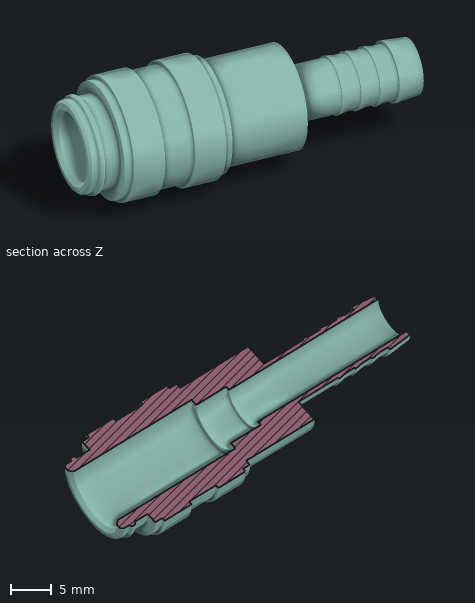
import cadquery as cq

total_length = 46.0
collar_front = -total_length / 2
tail_end = total_length / 2

neck_radius = 6.03
neck_length = 4.0
neck_chamfer = 0.3
bead_radius = 0.4
bead_offset = 1.6

sleeve_radius = 7.6
sleeve_length = 14.55
band_radius = 8.1
band_width = 4.2
band_inset = 1.05

body_radius = 6.85
body_length = 10.45
stem_radius = 3.6

barb_radius = 3.8
barb_length = 1.25
first_barb_offset = 4.65
barb_pitch = 2.555
barb_count = 3
tip_radius = 3.7
tip_barb_radius = 4.0
tip_length = 3.35

socket_radius = 4.5
socket_depth = 18.55
socket_chamfer = 0.5
step_radius = 3.55
step_depth = 4.6
through_radius = 2.95

sleeve_start = collar_front + neck_length
sleeve_end = sleeve_start + sleeve_length
body_end = sleeve_end + body_length


def cylinder(radius, start, end):
    """Cylinder on the Y axis spanning start to end."""
    base = cq.Workplane("XZ", origin=(0, start, 0))
    return base.circle(radius).extrude(start - end)


def cone(start_radius, end_radius, start, end):
    """Truncated cone on the Y axis spanning start to end."""
    profile = [(0, start), (start_radius, start), (end_radius, end), (0, end)]
    outline = cq.Workplane("XY").polyline(profile).close()
    return outline.revolve(360, (0, 0, 0), (0, 1, 0))


def make_neck():
    neck = cylinder(neck_radius, collar_front, sleeve_start)
    neck = neck.faces("<Y").chamfer(neck_chamfer)
    bead_section = cq.Workplane("XY").center(neck_radius, collar_front + bead_offset).circle(bead_radius)
    bead = bead_section.revolve(360, (-neck_radius, 0, 0), (-neck_radius, 1, 0))
    return neck.union(bead)


def make_sleeve():
    sleeve = cylinder(sleeve_radius, sleeve_start, sleeve_end)
    front_band_start = sleeve_start + band_inset
    rear_band_start = sleeve_end - band_inset - band_width
    for start in (front_band_start, rear_band_start):
        sleeve = sleeve.union(cylinder(band_radius, start, start + band_width))
    return sleeve


def make_stem():
    tip_start = tail_end - tip_length
    stem = cylinder(stem_radius, body_end, tip_start)
    stem = stem.union(cone(tip_barb_radius, tip_radius, tip_start, tail_end))
    for index in range(barb_count):
        barb_end = tail_end - first_barb_offset - index * barb_pitch
        stem = stem.union(cone(barb_radius, stem_radius, barb_end - barb_length, barb_end))
    return stem


def make_bore():
    socket_end = collar_front + socket_depth
    step_end = socket_end + step_depth
    bore = cylinder(through_radius, collar_front, tail_end)
    bore = bore.union(cylinder(socket_radius, collar_front, socket_end))
    bore = bore.union(cylinder(step_radius, socket_end, step_end))
    mouth_radius = socket_radius + socket_chamfer
    mouth = cone(mouth_radius, socket_radius, collar_front, collar_front + socket_chamfer)
    return bore.union(mouth)


body = cylinder(body_radius, sleeve_end, body_end)
outside = make_neck().union(make_sleeve()).union(body).union(make_stem())
result = outside.cut(make_bore())